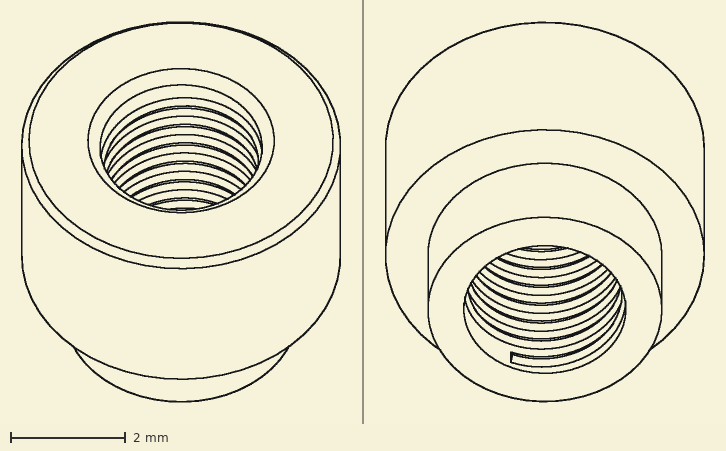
import cadquery as cq

head_diameter = 5.56
shank_diameter = 4.08
total_height = 4.7
shank_height = 1.53
rim_chamfer = 0.13

root_radius = 1.41
crest_radius = 1.345
countersink_radius = 1.625
countersink_depth = 0.19
pitch = 0.505
ridge_width = 0.29
ridge_overlap = 0.035
top_ridge_center = 4.335
ridge_turns = 8
ridge_start_angle = -90.0


def make_body():
    """Stepped cylinder with a chamfered top rim, standing on Z = 0."""
    shank = cq.Workplane("XY").circle(shank_diameter / 2).extrude(shank_height)
    head = (
        cq.Workplane("XY", origin=(0, 0, shank_height))
        .circle(head_diameter / 2)
        .extrude(total_height - shank_height)
        .faces(">Z")
        .chamfer(rim_chamfer)
    )
    return shank.union(head)


def make_bore():
    """Through bore at the thread root."""
    return cq.Workplane("XY").circle(root_radius).extrude(total_height)


def make_countersink():
    """Conical lead-in at the top of the bore."""
    return (
        cq.Workplane("XZ")
        .moveTo(0, total_height - countersink_depth)
        .lineTo(root_radius, total_height - countersink_depth)
        .lineTo(countersink_radius, total_height)
        .lineTo(0, total_height)
        .close()
        .revolve(360, (0, 0, 0), (0, 1, 0))
    )


def make_thread_ridge():
    """Left-hand V ridge, sunk slightly into the bore wall."""
    path = cq.Wire.makeHelix(pitch, pitch * ridge_turns, root_radius, lefthand=True)
    flank_slope = ridge_width / 2 / (root_radius - crest_radius)
    half_base = ridge_width / 2 + ridge_overlap * flank_slope
    ridge = (
        cq.Workplane("XZ")
        .moveTo(crest_radius, 0)
        .lineTo(root_radius + ridge_overlap, half_base)
        .lineTo(root_radius + ridge_overlap, -half_base)
        .close()
        .sweep(cq.Workplane(obj=path), isFrenet=True)
    )
    ridge = ridge.rotate((0, 0, 0), (0, 0, 1), ridge_start_angle)
    return ridge.translate((0, 0, top_ridge_center - pitch * ridge_turns))


envelope = make_body()
countersink = make_countersink()
ridge = make_thread_ridge().intersect(envelope)
result = envelope.cut(make_bore()).union(ridge).cut(countersink)